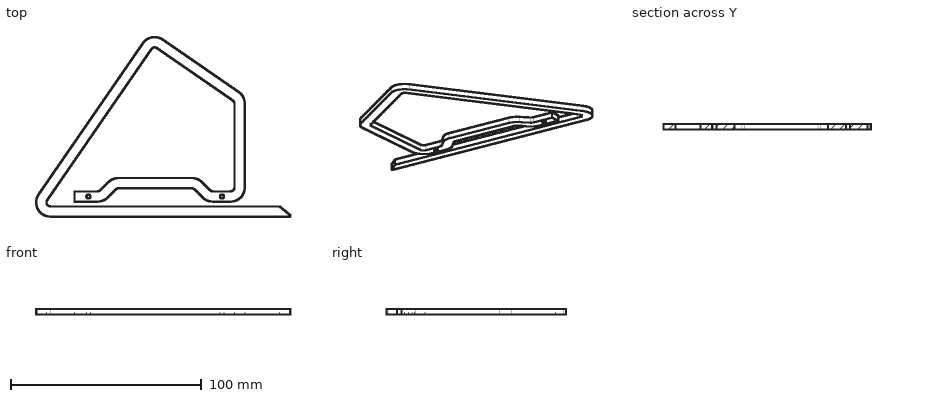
import cadquery as cq
import math

bar_width = 5.5
thickness = 3.0
bend_radius = 4.75
outer_radius = bend_radius + bar_width / 2

overall_length = 133.22
overall_height = 94.15

lean_angle = math.radians(55.4)
upright_x = 106.6

strap_y = 10.6
hole_diameter = 2.0
hole_spacing = 70.0
strap_middle_x = 62.4
strap_end_margin = 7.3
raised_rise = 7.0
raised_length = 42.4

tip_angle = math.radians(40)
tip_radius = 0.5


def tip_corner_x():
    """X of the sharp corner that, once rounded, gives the overall length."""
    return overall_length + tip_radius / math.tan(tip_angle / 2) - tip_radius


def centreline_corners():
    """Sharp corners of the bar's centreline, from the strap's free end to the tip."""
    raised_left = strap_middle_x - raised_length / 2
    raised_right = strap_middle_x + raised_length / 2
    raised_y = strap_y + raised_rise

    bottom_y = bar_width / 2
    heel_x = outer_radius - bend_radius / math.tan(lean_angle / 2)

    apex_setback = bend_radius * (math.sin(lean_angle) + math.cos(lean_angle))
    apex_y = overall_height - outer_radius + apex_setback
    apex_x = heel_x + (apex_y - bottom_y) / math.tan(lean_angle)
    shoulder_y = apex_y - (upright_x - apex_x) / math.tan(lean_angle)

    return [
        (strap_middle_x - hole_spacing / 2 - strap_end_margin, strap_y),
        (raised_left - raised_rise, strap_y),
        (raised_left, raised_y),
        (raised_right, raised_y),
        (raised_right + raised_rise, strap_y),
        (upright_x, strap_y),
        (upright_x, shoulder_y),
        (apex_x, apex_y),
        (heel_x, bottom_y),
        (tip_corner_x(), bottom_y),
    ]


def rounded_path(corners, radius):
    """Open wire through the corners, each inner corner replaced by a tangent arc."""
    path = cq.Workplane("XY").moveTo(*corners[0])
    for before, corner, after in zip(corners, corners[1:], corners[2:]):
        here = cq.Vector(*corner)
        towards_before = (cq.Vector(*before) - here).normalized()
        towards_after = (cq.Vector(*after) - here).normalized()
        setback = radius / math.tan(towards_before.getAngle(towards_after) / 2)
        arc_start = here + towards_before * setback
        arc_end = here + towards_after * setback
        path = path.lineTo(arc_start.x, arc_start.y)
        path = path.tangentArcPoint((arc_end.x, arc_end.y), relative=False)
    return path.lineTo(*corners[-1])


def bent_bar():
    """Rectangular bar swept along the centreline, with its bottom face on Z = 0."""
    corners = centreline_corners()
    start = cq.Vector(*corners[0])
    section_plane = cq.Plane(
        origin=(start.x, start.y, thickness / 2), xDir=(0, 1, 0), normal=(1, 0, 0)
    )
    path = rounded_path(corners, bend_radius).translate((0, 0, thickness / 2))
    return cq.Workplane(section_plane).rect(bar_width, thickness).sweep(path)


def tip_cutter():
    """Triangle above the slanted end of the bottom bar."""
    corner_x = tip_corner_x()
    slant_length = bar_width / math.tan(tip_angle)
    outline = [(corner_x, 0), (corner_x, bar_width), (corner_x - slant_length, bar_width)]
    return cq.Workplane("XY").polyline(outline).close().extrude(thickness)


def mounting_holes():
    """Cylinders for the two through holes in the strap."""
    centres = [(strap_middle_x + side * hole_spacing / 2, strap_y) for side in (-1, 1)]
    return cq.Workplane("XY").pushPoints(centres).circle(hole_diameter / 2).extrude(thickness)


result = bent_bar().cut(tip_cutter())
result = result.edges("|Z").edges(">X").fillet(tip_radius)
result = result.cut(mounting_holes())